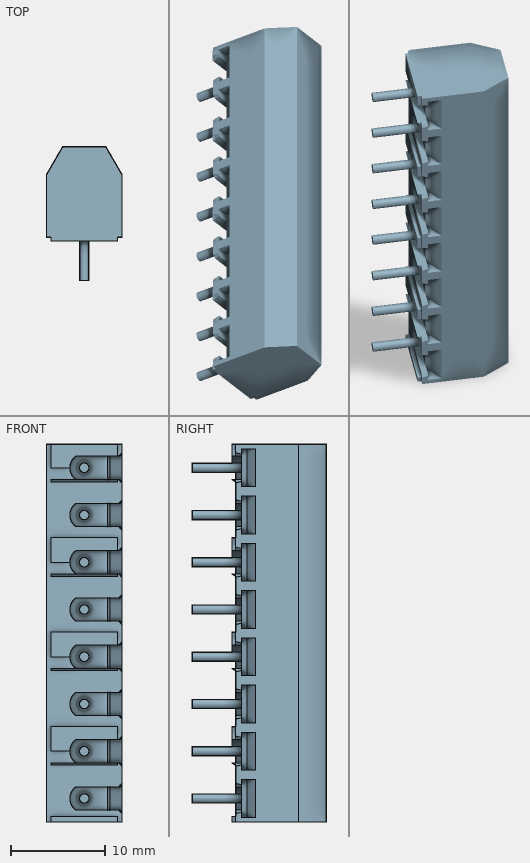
import cadquery as cq
import math

width = 8.0
height = 40.0
body_depth = 9.6
bevel_width = 1.7
bevel_depth = 2.95

pole_count = 8
pin_diameter = 1.0
pin_reach = 4.6
pin_root = 0.4

raise_depth = 0.4
raise_inset = 0.5
pad_height = 2.6
foot_height = 0.6
rib_thickness = 0.25

slot_width = 2.5
slot_radius = 1.5
slot_depth = 0.65
front_flare = 0.35
back_flare = 0.2

entry_height = 4.0
step_start = 2.5
step_drop = 0.55
ramp_start = 2.7
ramp_angle = 34.5

pitch = height / pole_count
pole_heights = [(pole + 0.5) * pitch for pole in range(pole_count)]
half_width = width / 2
half_slot = slot_width / 2
raise_half_width = half_width - raise_inset
ramp_front = slot_depth + step_drop
ramp_back = ramp_front + (half_width - ramp_start) * math.tan(math.radians(ramp_angle))


def make_housing():
    return (
        cq.Workplane("XY")
        .moveTo(-half_width, 0)
        .lineTo(half_width, 0)
        .lineTo(half_width, body_depth - bevel_depth)
        .lineTo(half_width - bevel_width, body_depth)
        .lineTo(-half_width + bevel_width, body_depth)
        .lineTo(-half_width, body_depth - bevel_depth)
        .close()
        .extrude(height)
    )


def make_raised_strip(bottom, top):
    """Flat strip across the front face between two heights."""
    return (
        cq.Workplane("XZ")
        .moveTo(-raise_half_width, bottom)
        .lineTo(raise_half_width, bottom)
        .lineTo(raise_half_width, top)
        .lineTo(-raise_half_width, top)
        .close()
        .extrude(raise_depth)
    )


def make_rib(top):
    """Thin wedge with a level top, tapering to an edge at its tip."""
    return (
        cq.Workplane("YZ")
        .moveTo(-raise_depth, top)
        .lineTo(0, top)
        .lineTo(0, top - rib_thickness)
        .close()
        .extrude(raise_half_width, both=True)
    )


def make_slot(z):
    """Slot whose closed end is an arc about the pin."""
    arc_end = -math.sqrt(slot_radius**2 - half_slot**2)
    return (
        cq.Workplane("XZ", origin=(0, slot_depth, z))
        .moveTo(arc_end, -half_slot)
        .threePointArc((-slot_radius, 0), (arc_end, half_slot))
        .lineTo(half_width, half_slot)
        .lineTo(half_width, -half_slot)
        .close()
        .extrude(slot_depth + raise_depth)
    )


def flare_section(y, z, flare):
    corners = [
        (half_width - flare, half_slot),
        (half_width, half_slot + flare),
        (half_width, -half_slot - flare),
        (half_width - flare, -half_slot),
    ]
    return cq.Wire.makePolygon([cq.Vector(x, y, z + rise) for x, rise in corners], close=True)


def make_flare(z):
    """Chamfered corners at the slot mouth, narrowing away from the front face."""
    sections = [flare_section(0, z, front_flare), flare_section(slot_depth, z, back_flare)]
    return cq.Workplane(cq.Solid.makeLoft(sections, True))


def make_entry(z):
    """Opening on the +X side, wider than the slot, with a steep step and a ramp behind it."""
    return (
        cq.Workplane("XY", origin=(0, 0, z))
        .moveTo(step_start, slot_depth)
        .lineTo(ramp_start, ramp_front)
        .lineTo(half_width, ramp_back)
        .lineTo(half_width, slot_depth)
        .close()
        .extrude(entry_height / 2, both=True)
    )


def make_pin(z):
    return (
        cq.Workplane("XZ", origin=(0, slot_depth + pin_root, z))
        .circle(pin_diameter / 2)
        .extrude(slot_depth + pin_root + pin_reach)
    )


result = make_housing().union(make_raised_strip(0, foot_height))

for z in pole_heights[1::2]:
    result = result.union(make_raised_strip(z, min(z + pad_height, height)))
    result = result.union(make_rib(z - half_slot))

for z in pole_heights:
    result = result.cut(make_slot(z)).cut(make_flare(z)).cut(make_entry(z))
    result = result.union(make_pin(z))